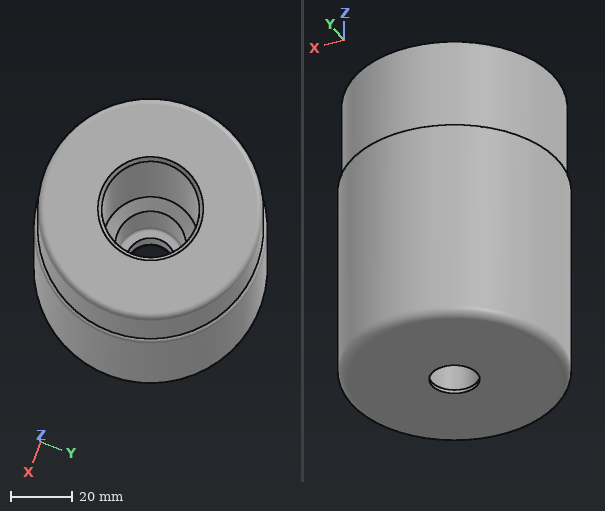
import cadquery as cq
import math

total_height = 108.65
jacket_radius = 38.1

jacket_wall = 1.3
jacket_height = 74.8
rim_fillet = 1.2

core_radius = jacket_radius - jacket_wall
core_bottom = jacket_wall
core_edge_fillet = 2.05
jacket_bottom_fillet = core_edge_fillet + jacket_wall

main_bore_radius = 15.9
main_bore_depth = 64.0
main_bore_bottom = total_height - main_bore_depth
mouth_chamfer = 1.27
drill_point_angle = 118.0

recess_radius = 11.6
recess_floor_height = 12.7
recess_floor_fillet = 1.0

through_hole_radius = 8.22


def cylinder(radius, bottom, top):
    """Cylinder on the Z axis between two heights."""
    return cq.Workplane("XY").workplane(offset=bottom).circle(radius).extrude(top - bottom)


def main_bore():
    """Bore with a chamfered mouth and a conical drill point at its bottom."""
    point_depth = main_bore_radius / math.tan(math.radians(drill_point_angle / 2))
    return (
        cq.Workplane("XZ")
        .moveTo(0, total_height)
        .lineTo(main_bore_radius + mouth_chamfer, total_height)
        .lineTo(main_bore_radius, total_height - mouth_chamfer)
        .lineTo(main_bore_radius, main_bore_bottom)
        .lineTo(0, main_bore_bottom - point_depth)
        .close()
        .revolve(360, (0, 0, 0), (0, 1, 0))
    )


def recess():
    """Recess below the drill point, with a rounded edge around its flat floor."""
    plain_recess = cylinder(recess_radius, recess_floor_height, main_bore_bottom)
    return plain_recess.faces("<Z").edges().fillet(recess_floor_fillet)


def build_core():
    """Rounded cylinder with the stepped bore along its axis."""
    blank = cylinder(core_radius, core_bottom, total_height)
    blank = blank.edges("%CIRCLE").fillet(core_edge_fillet)
    through_hole = cylinder(through_hole_radius, core_bottom, total_height)
    return blank.cut(main_bore()).cut(recess()).cut(through_hole)


def build_jacket():
    """Cup that follows the side and bottom of the core."""
    shell = cylinder(jacket_radius, 0, jacket_height)
    shell = shell.faces("<Z").edges().fillet(jacket_bottom_fillet)
    shell = shell.faces(">Z").edges().fillet(rim_fillet)
    cavity = cylinder(core_radius, core_bottom, jacket_height)
    cavity = cavity.faces("<Z").edges().fillet(core_edge_fillet)
    through_hole = cylinder(through_hole_radius, 0, core_bottom)
    return shell.cut(cavity).cut(through_hole)


core = build_core()
jacket = build_jacket()

result = cq.Compound.makeCompound([core.val(), jacket.val()])